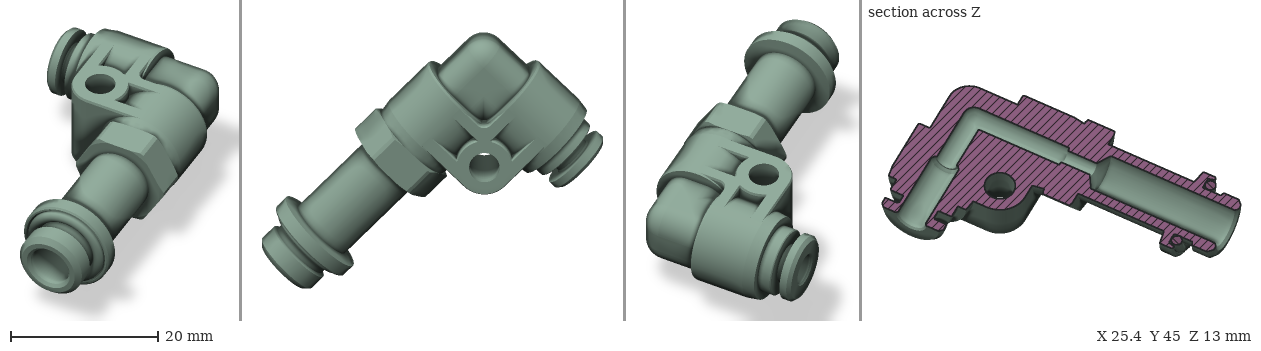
import cadquery as cq
import math


DRUM_RADIUS = 6.2
DRUM_START = 4.3
DRUM_END = 12.15
DRUM_LIP_LENGTH = 0.3
DRUM_LIP_DEPTH = 0.1
NOSE_END = 13.8
NOSE_RADIUS = 5.95

BLOCK_HALF = 4.5
BLOCK_ROUNDING = 3.05

LUG_HOLE_OFFSET = 8.25
LUG_HOLE_RADIUS = 2.05
LUG_CORNER_RADIUS = DRUM_END - LUG_HOLE_OFFSET
LUG_INNER_EDGE = 4.5
LUG_INNER_FILLET = 1.15
LUG_BEVEL_HEIGHT = 0.3
LUG_BEVEL_WIDTH = 0.158
LUG_BEVEL_ANGLE = math.degrees(math.atan2(LUG_BEVEL_WIDTH, LUG_BEVEL_HEIGHT))
POCKET_HALF_WIDTH = 2.05
POCKET_DEPTH = 4.95

SLEEVE_RADIUS = 4.72
SLEEVE_RING_END = 15.7
SLEEVE_NECK_RADIUS = 2.7
SLEEVE_BUTTON_START = 17.05
SLEEVE_END = 18.6
SLEEVE_CHAMFER = 0.5
SLEEVE_EDGE_BREAK = 0.15
SLEEVE_NECK_FLARE = 0.22

HEX_FLAT_DISTANCE = 6.0
HEX_CORNER_RADIUS = 6.75
HEX_END = 18.25
HEX_SIDES = 6
HEX_CHAMFER_LENGTH = 0.2
HEX_CHAMFER_DEPTH = 0.55

TUBE_RADIUS = 4.5
COLLAR_DIAMETER = 13.0
COLLAR_RADIUS = COLLAR_DIAMETER / 2
COLLAR_CONE_START = 31.35
COLLAR_START = 31.72
COLLAR_END = 33.8
COLLAR_CHAMFER = 0.22
NECK_RADIUS = 4.25
NECK_END = 35.55
THREAD_RADIUS = 4.75
THREAD_START = 35.78
THREAD_CHAMFER = 0.7
OVERALL_LENGTH = 45.0
STEM_END = OVERALL_LENGTH - DRUM_RADIUS

RING_SECTION_RADIUS = 0.75
RING_PROTRUSION = 0.6
RING_CENTRE_RADIUS = NECK_RADIUS + RING_SECTION_RADIUS
RING_POSITION = COLLAR_END + RING_PROTRUSION - RING_SECTION_RADIUS
RECESS_FLOOR = RING_POSITION - RING_SECTION_RADIUS
RECESS_FLOOR_RADIUS = RING_CENTRE_RADIUS + RING_SECTION_RADIUS
RECESS_MOUTH_RADIUS = 6.05

PASSAGE_RADIUS = 1.5
TUBE_SOCKET_RADIUS = 2.05
TUBE_SOCKET_MOUTH_RADIUS = 2.35
TUBE_SOCKET_END = 8.55
TUBE_STOP_RADIUS = 1.75
TUBE_STOP_TAPER = 0.45
ORIFICE_RADIUS = 1.0
STEM_BORE_RADIUS = 2.92
STEM_BORE_MOUTH_RADIUS = 3.35
STEM_BORE_POINT_ANGLE = 118.0


def turned_along_port(profile):
    """Solid of revolution about the port axis from (distance, radius) points, running toward -X."""
    points = [(-distance, radius) for distance, radius in profile]
    return cq.Workplane("XY").polyline(points).close().revolve(360, (0, 0), (1, 0))


def turned_along_stem(profile):
    """Solid of revolution about the stem axis from (distance, radius) points, running toward -Y."""
    points = [(radius, -distance) for distance, radius in profile]
    return cq.Workplane("XY").polyline(points).close().revolve(360, (0, 0), (0, 1))


def make_corner_block():
    cube = cq.Workplane("XY").box(2 * BLOCK_HALF, 2 * BLOCK_HALF, 2 * BLOCK_HALF)
    arm_along_port = cube.edges("|X or >X").fillet(BLOCK_ROUNDING)
    arm_along_stem = cube.edges("|Y or >Y").fillet(BLOCK_ROUNDING)
    return arm_along_port.union(arm_along_stem)


def lug_outline(plane):
    """L-shaped lug outline with a rounded outer corner and a filleted inner corner."""
    reach = LUG_BEVEL_WIDTH
    bend = LUG_CORNER_RADIUS * math.sqrt(0.5)
    inner_centre = LUG_INNER_EDGE - LUG_INNER_FILLET
    inner_bend = inner_centre + LUG_INNER_FILLET * math.sqrt(0.5)
    return (
        plane.moveTo(-DRUM_END, reach)
        .lineTo(-DRUM_END, -LUG_HOLE_OFFSET)
        .threePointArc((-LUG_HOLE_OFFSET - bend, -LUG_HOLE_OFFSET - bend), (-LUG_HOLE_OFFSET, -DRUM_END))
        .lineTo(reach, -DRUM_END)
        .lineTo(reach, -LUG_INNER_EDGE)
        .lineTo(-inner_centre, -LUG_INNER_EDGE)
        .threePointArc((-inner_bend, -inner_bend), (-LUG_INNER_EDGE, -inner_centre))
        .lineTo(-LUG_INNER_EDGE, reach)
        .close()
    )


def bevelled(outline):
    """Raise an outline from the middle plane to the lug face, with a bevel around its top edge."""
    side_height = DRUM_RADIUS - LUG_BEVEL_HEIGHT
    sides = outline(cq.Workplane("XY")).extrude(side_height)
    rim = outline(cq.Workplane("XY").workplane(offset=side_height)).extrude(
        LUG_BEVEL_HEIGHT, taper=LUG_BEVEL_ANGLE
    )
    return sides.union(rim)


def boss_outline(plane):
    return plane.center(-LUG_HOLE_OFFSET, -LUG_HOLE_OFFSET).circle(LUG_CORNER_RADIUS)


def make_pocket():
    """Pocket from the lug face down beside the port drum, with a bevelled mouth, curved around the boss."""
    length = LUG_BEVEL_WIDTH + DRUM_RADIUS + POCKET_DEPTH
    width = 2 * POCKET_HALF_WIDTH
    middle = length / 2 - POCKET_DEPTH
    face = cq.Workplane("XY").workplane(offset=DRUM_RADIUS).center(-LUG_HOLE_OFFSET, middle)
    mouth = face.rect(width, length).extrude(-LUG_BEVEL_HEIGHT, taper=LUG_BEVEL_ANGLE)
    well = face.rect(width - 2 * LUG_BEVEL_WIDTH, length - 2 * LUG_BEVEL_WIDTH).extrude(-DRUM_RADIUS)
    return mouth.union(well).cut(bevelled(boss_outline))


def make_lug_half():
    """Upper half of the lug, with one pocket beside each drum."""
    pocket_beside_port = make_pocket()
    pocket_beside_stem = pocket_beside_port.rotate((0, 0, 0), (1, 1, 0), 180).mirror("XY")
    return bevelled(lug_outline).cut(pocket_beside_port).cut(pocket_beside_stem)


def make_lug():
    upper = make_lug_half()
    return upper.union(upper.mirror("XY"))


def drum_profile():
    return [
        (DRUM_START, 0),
        (DRUM_START, DRUM_RADIUS - DRUM_LIP_DEPTH),
        (DRUM_START + DRUM_LIP_LENGTH, DRUM_RADIUS),
        (DRUM_END, DRUM_RADIUS),
        (NOSE_END, NOSE_RADIUS),
        (NOSE_END, 0),
    ]


def make_sleeve():
    """Release sleeve: guide ring, narrow neck and push button."""
    return turned_along_port([
        (NOSE_END, 0),
        (NOSE_END, SLEEVE_RADIUS),
        (SLEEVE_RING_END - SLEEVE_EDGE_BREAK, SLEEVE_RADIUS),
        (SLEEVE_RING_END, SLEEVE_RADIUS - SLEEVE_EDGE_BREAK),
        (SLEEVE_RING_END, SLEEVE_NECK_RADIUS),
        (SLEEVE_BUTTON_START - SLEEVE_NECK_FLARE, SLEEVE_NECK_RADIUS),
        (SLEEVE_BUTTON_START, SLEEVE_NECK_RADIUS + SLEEVE_NECK_FLARE),
        (SLEEVE_BUTTON_START, SLEEVE_RADIUS),
        (SLEEVE_END - SLEEVE_CHAMFER, SLEEVE_RADIUS),
        (SLEEVE_END, SLEEVE_RADIUS - SLEEVE_CHAMFER),
        (SLEEVE_END, 0),
    ])


def make_hexagon():
    """Hexagon with two flats facing up and down, its corners turned and chamfered at both ends."""
    across_corners = 2 * HEX_FLAT_DISTANCE / math.cos(math.pi / HEX_SIDES)
    prism = (
        cq.Workplane("XZ").workplane(offset=NOSE_END)
        .polygon(HEX_SIDES, across_corners).extrude(HEX_END - NOSE_END)
    )
    turned_blank = turned_along_stem([
        (NOSE_END, 0),
        (NOSE_END, HEX_CORNER_RADIUS - HEX_CHAMFER_DEPTH),
        (NOSE_END + HEX_CHAMFER_LENGTH, HEX_CORNER_RADIUS),
        (HEX_END - HEX_CHAMFER_LENGTH, HEX_CORNER_RADIUS),
        (HEX_END, HEX_CORNER_RADIUS - HEX_CHAMFER_DEPTH),
        (HEX_END, 0),
    ])
    return prism.intersect(turned_blank)


def make_stem():
    """Tube, recessed collar, seal neck and thread."""
    return turned_along_stem([
        (HEX_END, 0),
        (HEX_END, TUBE_RADIUS),
        (COLLAR_CONE_START, TUBE_RADIUS),
        (COLLAR_START, COLLAR_RADIUS),
        (COLLAR_END - COLLAR_CHAMFER, COLLAR_RADIUS),
        (COLLAR_END, COLLAR_RADIUS - COLLAR_CHAMFER),
        (COLLAR_END, RECESS_MOUTH_RADIUS),
        (RECESS_FLOOR, RECESS_FLOOR_RADIUS),
        (RECESS_FLOOR, NECK_RADIUS),
        (NECK_END, NECK_RADIUS),
        (THREAD_START, THREAD_RADIUS),
        (STEM_END - THREAD_CHAMFER, THREAD_RADIUS),
        (STEM_END, THREAD_RADIUS - THREAD_CHAMFER),
        (STEM_END, 0),
    ])


def make_passage():
    """Tube socket, elbow passage with a ball corner, orifice and stem bore."""
    mouth_depth = TUBE_SOCKET_MOUTH_RADIUS - TUBE_SOCKET_RADIUS
    port_bore = turned_along_port([
        (0, 0),
        (0, PASSAGE_RADIUS),
        (TUBE_SOCKET_END - TUBE_STOP_TAPER, PASSAGE_RADIUS),
        (TUBE_SOCKET_END - TUBE_STOP_TAPER, TUBE_STOP_RADIUS),
        (TUBE_SOCKET_END, TUBE_SOCKET_RADIUS),
        (SLEEVE_END - mouth_depth, TUBE_SOCKET_RADIUS),
        (SLEEVE_END, TUBE_SOCKET_MOUTH_RADIUS),
        (SLEEVE_END, 0),
    ])
    point_length = (STEM_BORE_RADIUS - ORIFICE_RADIUS) / math.tan(math.radians(STEM_BORE_POINT_ANGLE / 2))
    bore_mouth_depth = STEM_BORE_MOUTH_RADIUS - STEM_BORE_RADIUS
    stem_bore = turned_along_stem([
        (0, 0),
        (0, PASSAGE_RADIUS),
        (NOSE_END, PASSAGE_RADIUS),
        (NOSE_END, ORIFICE_RADIUS),
        (HEX_END, ORIFICE_RADIUS),
        (HEX_END + point_length, STEM_BORE_RADIUS),
        (STEM_END - bore_mouth_depth, STEM_BORE_RADIUS),
        (STEM_END, STEM_BORE_MOUTH_RADIUS),
        (STEM_END, 0),
    ])
    ball_corner = cq.Workplane("XY").sphere(PASSAGE_RADIUS)
    return port_bore.union(stem_bore).union(ball_corner)


def make_fitting():
    lug_hole = (
        cq.Workplane("XY").center(-LUG_HOLE_OFFSET, -LUG_HOLE_OFFSET)
        .circle(LUG_HOLE_RADIUS).extrude(DRUM_RADIUS, both=True)
    )
    return (
        make_corner_block()
        .union(make_lug())
        .union(turned_along_port(drum_profile()))
        .union(turned_along_stem(drum_profile()))
        .union(make_sleeve())
        .union(make_hexagon())
        .union(make_stem())
        .cut(make_passage())
        .cut(lug_hole)
    )


def make_sealing_ring():
    return (
        cq.Workplane("XY").center(RING_CENTRE_RADIUS, -RING_POSITION)
        .circle(RING_SECTION_RADIUS)
        .revolve(360, (-RING_CENTRE_RADIUS, 0), (-RING_CENTRE_RADIUS, 1))
    )


fitting = make_fitting()
sealing_ring = make_sealing_ring()
result = cq.Compound.makeCompound([*fitting.solids().vals(), sealing_ring.val()])